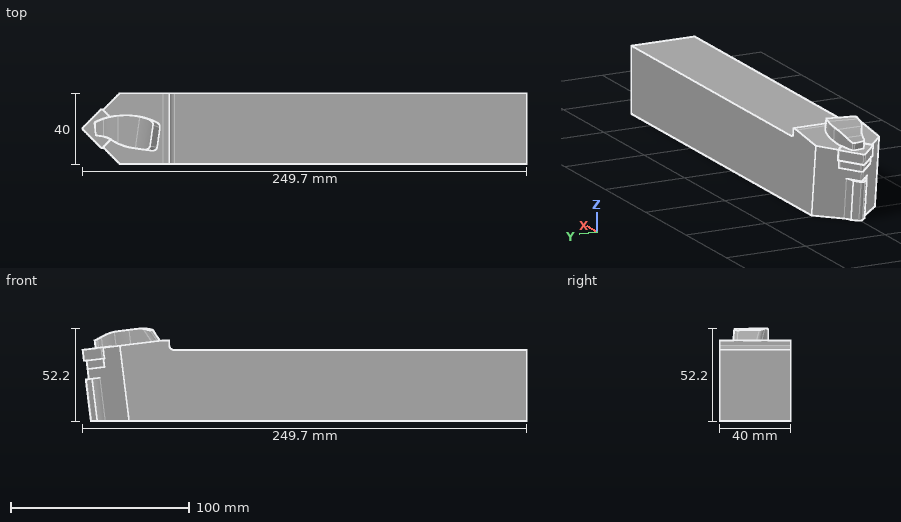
import cadquery as cq
import math

total_length = 250.0
shank_width = 40.0
shank_height = 40.0
head_tilt = 7.0
head_drop = 0.3
land_start = 45.5
land_end = 49.1
step_fillet = 2.7
wedge_tip = 1.45
wedge_nose_radius = 0.8

insert_side = 15.875
insert_thickness = 6.35
insert_nose_radius = 0.8
seat_side = 15.0
seat_thickness = 4.76
seat_nose_radius = 1.3

guard_depth = 16.8
guard_tip = -0.6
guard_nose_radius = 1.6
guard_face_half = 4.3
guard_root_half = 6.6

clamp_top = 8.0
clamp_nose_front = 8.0
clamp_nose_height = 4.4
clamp_ridge = 12.8
clamp_ridge_height = 6.3
clamp_brow_end = 21.3
clamp_crest = 32.3
clamp_crest_end = 40.3
clamp_crest_drop = 1.9
clamp_heel = 43.6
clamp_nose_radius = 1.0
clamp_heel_radius = 2.5
clamp_twist = -8.0
clamp_twist_center = -2.5

nose_left = (7.6, 3.5)
nose_right = (8.5, -4.0)
hollow_start = (11.6, -4.2)
hollow_middle = (15.5, -5.3)
hollow_end = (19.2, -7.3)
bulge_middle = (23.2, -9.25)
bulge_end = (27.5, -10.6)
back_right = (47.0, -13.5)
back_left = (47.0, 0.6)
back_bulge_middle = (33.5, 6.7)
widest_left = (24.5, 7.4)
front_bulge_middle = (15.5, 6.4)

half_width = shank_width / 2
slope = math.radians(head_tilt)
land_height = shank_height - head_drop + land_start * math.tan(slope)
overshoot = 60.0

head_plane = cq.Plane(
    origin=(0, 0, shank_height),
    xDir=(math.cos(slope), 0, math.sin(slope)),
    normal=(-math.sin(slope), 0, math.cos(slope)),
)
along_normal = cq.selectors.ParallelDirSelector(head_plane.zDir)
above_base = cq.Workplane("XY").box(
    2 * total_length, shank_width, 2 * shank_height, centered=(True, True, False)
)


def arc_radius(rise, run):
    """Radius of an arc that leaves a tangent line by a rise over a run along that line."""
    return (rise**2 + run**2) / (2 * rise)


def square_plate(side, thickness, nose_radius, depth):
    """Plate with its top at a depth below the insert top; all plates share the back corner."""
    center = insert_side * math.sqrt(2) - side / math.sqrt(2)
    return (
        cq.Workplane(head_plane)
        .workplane(offset=-depth)
        .center(center, 0)
        .transformed(rotate=(0, 0, 45))
        .rect(side, side)
        .extrude(-thickness)
        .edges(along_normal)
        .fillet(nose_radius)
    )


def make_shank():
    """Side outline across the full width, trimmed to a right-angled point at the head."""
    outline = (
        cq.Workplane("XZ", origin=(0, half_width, 0))
        .lineTo(total_length, 0)
        .lineTo(total_length, shank_height)
        .lineTo(land_end + step_fillet, shank_height)
        .radiusArc((land_end, shank_height + step_fillet), step_fillet)
        .lineTo(land_end, land_height)
        .lineTo(land_start, land_height)
        .lineTo(0, shank_height - head_drop)
        .close()
        .extrude(shank_width)
    )
    wedge = (
        cq.Workplane(head_plane)
        .workplane(offset=-2 * overshoot)
        .moveTo(wedge_tip, 0)
        .lineTo(wedge_tip + half_width, -half_width)
        .lineTo(2 * total_length, -half_width)
        .lineTo(2 * total_length, half_width)
        .lineTo(wedge_tip + half_width, half_width)
        .close()
        .extrude(3 * overshoot)
        .edges(along_normal)
        .edges("<X")
        .fillet(wedge_nose_radius)
    )
    return outline.intersect(wedge)


def make_guard():
    """Rounded corner strip whose hollow sides run out smoothly into the flanks of the head."""
    rise = (wedge_tip - guard_tip) / math.sqrt(2)
    run = rise + math.sqrt(2) * (guard_root_half - guard_face_half)
    side_radius = arc_radius(rise, run)
    face_end = guard_tip + guard_face_half
    root = wedge_tip + guard_root_half
    return (
        cq.Workplane(head_plane)
        .workplane(offset=-guard_depth)
        .moveTo(guard_tip, 0)
        .lineTo(face_end, guard_face_half)
        .radiusArc((root, guard_root_half), -side_radius)
        .lineTo(root, -guard_root_half)
        .radiusArc((face_end, -guard_face_half), -side_radius)
        .close()
        .extrude(-overshoot)
        .edges(along_normal)
        .edges("<X")
        .fillet(guard_nose_radius)
        .intersect(above_base)
    )


def profile_plane(origin_along, turn, origin_across):
    """Upright plane along the finger, turned about the head plane's normal."""
    origin = head_plane.toWorldCoords((origin_along, origin_across, 0))
    angle = math.radians(turn)
    x_dir = head_plane.xDir * math.cos(angle) + head_plane.yDir * math.sin(angle)
    return cq.Workplane(cq.Plane(origin, x_dir, x_dir.cross(head_plane.zDir)))


def make_clamp():
    """Plan outline of the finger, trimmed by its front profile and its turned back profile."""
    plan = (
        cq.Workplane(head_plane)
        .workplane(offset=-head_drop)
        .moveTo(*nose_left)
        .lineTo(*nose_right)
        .lineTo(*hollow_start)
        .threePointArc(hollow_middle, hollow_end)
        .threePointArc(bulge_middle, bulge_end)
        .lineTo(*back_right)
        .lineTo(*back_left)
        .threePointArc(back_bulge_middle, widest_left)
        .threePointArc(front_bulge_middle, nose_left)
        .close()
        .extrude(overshoot)
        .faces("<X")
        .edges(along_normal)
        .fillet(clamp_nose_radius)
    )
    brow_run = clamp_brow_end - clamp_ridge
    brow_radius = arc_radius(clamp_top - clamp_ridge_height, brow_run)
    front_profile = (
        profile_plane(0, 0, 0)
        .moveTo(0, -overshoot)
        .lineTo(0, clamp_nose_height)
        .lineTo(clamp_nose_front, clamp_nose_height)
        .lineTo(clamp_ridge, clamp_ridge_height)
        .radiusArc((clamp_brow_end, clamp_top), brow_radius)
        .lineTo(overshoot, clamp_top)
        .lineTo(overshoot, -overshoot)
        .close()
        .extrude(overshoot, both=True)
    )
    crest_run = clamp_crest_end - clamp_crest
    crest_radius = arc_radius(clamp_crest_drop, crest_run)
    back_profile = (
        profile_plane(clamp_crest, clamp_twist, clamp_twist_center)
        .moveTo(-overshoot, -head_drop)
        .lineTo(-overshoot, clamp_top)
        .lineTo(0, clamp_top)
        .radiusArc((crest_run, clamp_top - clamp_crest_drop), crest_radius)
        .lineTo(clamp_heel - clamp_crest, -head_drop)
        .close()
        .extrude(overshoot, both=True)
    )
    finger = plan.intersect(front_profile).intersect(back_profile)
    across_back = profile_plane(clamp_crest, clamp_twist, clamp_twist_center).plane.zDir
    corners = cq.selectors.InverseSelector(cq.selectors.ParallelDirSelector(across_back))
    return finger.faces(">X").edges(corners).fillet(clamp_heel_radius)


insert = square_plate(insert_side, insert_thickness, insert_nose_radius, 0)
seat = square_plate(seat_side, seat_thickness, seat_nose_radius, insert_thickness)
holder = make_shank().union(make_clamp()).cut(insert).union(seat).union(make_guard())

result = cq.Compound.makeCompound([holder.val(), insert.val()])